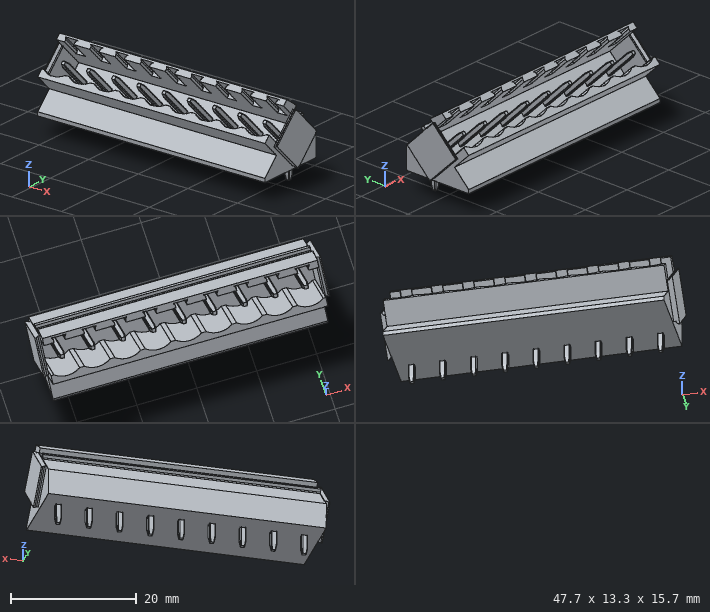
import cadquery as cq
import math

overall_length = 47.7
overall_depth = 13.3
overall_height = 15.65

pin_count = 9
pin_span = 40.65
pin_width = 1.0
pin_chamfer = 0.15
pin_tip_width = 0.6
pin_tip_length = 0.95
pin_bend_height = 2.6

floor_along = 1.4
mouth_along = 9.7
pin_end_along = 8.7
ledge_along = 5.45
upper_inner = 3.1
upper_outer = 3.95
lower_inner = -2.25
lower_outer = -3.75

hook_back_along = 6.6
hook_back_across = 4.8
hook_front_across = 4.35
hook_crest_length = 0.4

rib_start_along = 3.7
rib_width = 0.75
rib_height = 0.7
rib_foot_height = 0.2
rib_foot_spread = 0.15

slot_end_along = 5.45
slot_inner_width = 1.85
slot_outer_width = 2.4
slot_flare_height = 0.4

scallop_width = 4.3
scallop_depth = 0.7

plate_thickness = 0.9
plate_rim = 0.25
plate_neck = 0.3
plate_flare = 0.5
plate_start_along = -0.2
plate_end_along = 7.6
plate_bottom_across = -3.05
plate_top_across = 3.85

housing_length = overall_length - 2 * plate_thickness
pitch = pin_span / (pin_count - 1)
pin_places = [(i - (pin_count - 1) / 2) * pitch for i in range(pin_count)]


def tilted(along, across):
    """Turn tilted socket coordinates into (Y, Z)."""
    y = (across - along) / math.sqrt(2)
    z = pin_bend_height + (across + along) / math.sqrt(2)
    return (y, z)


front_y = tilted(mouth_along, lower_outer)[0]
rear_y = front_y + overall_depth
top_z = tilted(mouth_along, hook_front_across)[1]
pin_bottom_z = top_z - overall_height
rear_top_z = pin_bend_height + upper_outer * math.sqrt(2) - rear_y
toe_top_z = pin_bend_height + ledge_along * math.sqrt(2) + front_y

socket_normal = cq.Vector(0, -1, 1)
across_direction = cq.Vector(0, 1, 1)


def extrude_along_x(points, start_x, length):
    """Extrude a (Y, Z) outline along +X."""
    return cq.Workplane("YZ", origin=(start_x, 0, 0)).polyline(points).close().extrude(length)


def socket_plane(along, x=0.0):
    """Plane across the socket: local x is +X, local y is "across"."""
    y, z = tilted(along, 0)
    return cq.Plane(origin=(x, y, z), xDir=(1, 0, 0), normal=socket_normal)


def housing_body():
    outline = [
        (rear_y, 0),
        (rear_y, rear_top_z),
        tilted(hook_back_along, upper_outer),
        tilted(hook_back_along, hook_back_across),
        tilted(hook_back_along + hook_crest_length, hook_back_across),
        tilted(mouth_along, hook_front_across),
        tilted(mouth_along, upper_inner),
        tilted(floor_along, upper_inner),
        tilted(floor_along, lower_inner),
        tilted(mouth_along, lower_inner),
        tilted(mouth_along, lower_outer),
        tilted(ledge_along, lower_outer),
        (front_y, toe_top_z),
        (front_y, 0),
    ]
    return extrude_along_x(outline, -housing_length / 2, housing_length)


def rear_rib():
    rib_end_along = rib_start_along + rib_width
    foot_across = upper_outer + rib_foot_height
    crest_across = upper_outer + rib_height
    outline = [
        tilted(rib_start_along - rib_foot_spread, upper_outer),
        tilted(rib_start_along, foot_across),
        tilted(rib_start_along, crest_across),
        tilted(rib_end_along, crest_across),
        tilted(rib_end_along, foot_across),
        tilted(rib_end_along + rib_foot_spread, upper_outer),
    ]
    return extrude_along_x(outline, -housing_length / 2, housing_length)


def end_plate():
    """Plate that closes the -X end of the socket, undercut like a dovetail at front and back."""
    rim_x = -overall_length / 2
    flare_start_x = rim_x + plate_rim
    flare_end_x = rim_x + plate_thickness - plate_neck
    joint_x = rim_x + plate_thickness
    half_rim = (plate_end_along - plate_start_along) / 2
    half_neck = half_rim - plate_flare
    center_y, center_z = tilted((plate_start_along + plate_end_along) / 2, plate_bottom_across)
    base = cq.Plane(origin=(0, center_y, center_z), xDir=(1, 0, 0), normal=across_direction)
    return (
        cq.Workplane(base)
        .polyline([
            (rim_x, -half_rim),
            (flare_start_x, -half_rim),
            (flare_end_x, -half_neck),
            (joint_x, -half_neck),
            (joint_x, half_neck),
            (flare_end_x, half_neck),
            (flare_start_x, half_rim),
            (rim_x, half_rim),
        ])
        .close()
        .extrude(plate_top_across - plate_bottom_across)
    )


def dovetail_slot(x):
    """Dovetail slot through the upper wall, open at the mouth and roofed by the hook."""
    flare_across = upper_outer - slot_flare_height
    return (
        cq.Workplane(socket_plane(slot_end_along, x))
        .polyline([
            (-slot_inner_width / 2, upper_inner),
            (slot_inner_width / 2, upper_inner),
            (slot_inner_width / 2, flare_across),
            (slot_outer_width / 2, upper_outer),
            (-slot_outer_width / 2, upper_outer),
            (-slot_inner_width / 2, flare_across),
        ])
        .close()
        .extrude(mouth_along - slot_end_along)
    )


def scallop(x):
    """Shallow round-bottomed channel in the lower wall."""
    return (
        cq.Workplane(socket_plane(floor_along, x))
        .moveTo(-scallop_width / 2, lower_inner)
        .threePointArc((0, lower_inner - scallop_depth), (scallop_width / 2, lower_inner))
        .close()
        .extrude(mouth_along - floor_along)
    )


def pin_section(workplane, width):
    """Square of the given width with its corners cut off in proportion."""
    half = width / 2
    flat = half - pin_chamfer * width / pin_width
    return workplane.polyline([
        (half, -flat),
        (half, flat),
        (flat, half),
        (-flat, half),
        (-half, flat),
        (-half, -flat),
        (-flat, -half),
        (flat, -half),
    ]).close()


def pin_tip(plane):
    """Tapered tip that starts on the plane and runs along its normal."""
    base = pin_section(cq.Workplane(plane), pin_width)
    end = pin_section(base.workplane(offset=pin_tip_length), pin_tip_width)
    return end.loft(ruled=True)


def pin(x):
    """Bent pin: a vertical solder leg and a tilted contact."""
    leg_end_z = pin_bottom_z + pin_tip_length
    contact_end_along = pin_end_along - pin_tip_length
    leg_plane = cq.Plane(origin=(x, 0, leg_end_z), xDir=(1, 0, 0), normal=(0, 0, 1))
    path = cq.Workplane("YZ", origin=(x, 0, 0)).polyline([
        (0, leg_end_z),
        (0, pin_bend_height),
        tilted(contact_end_along, 0),
    ])
    shaft = pin_section(cq.Workplane(leg_plane), pin_width).sweep(path, transition="right")
    leg_tip_plane = cq.Plane(origin=(x, 0, leg_end_z), xDir=(1, 0, 0), normal=(0, 0, -1))
    return shaft.union(pin_tip(leg_tip_plane)).union(pin_tip(socket_plane(contact_end_along, x)))


left_plate = end_plate()
housing = housing_body().union(rear_rib()).union(left_plate).union(left_plate.mirror("YZ"))
pins = [pin(x) for x in pin_places]
for x, contact in zip(pin_places, pins):
    housing = housing.cut(dovetail_slot(x)).cut(scallop(x)).cut(contact)

result = cq.Compound.makeCompound([housing.val(), *[contact.val() for contact in pins]])